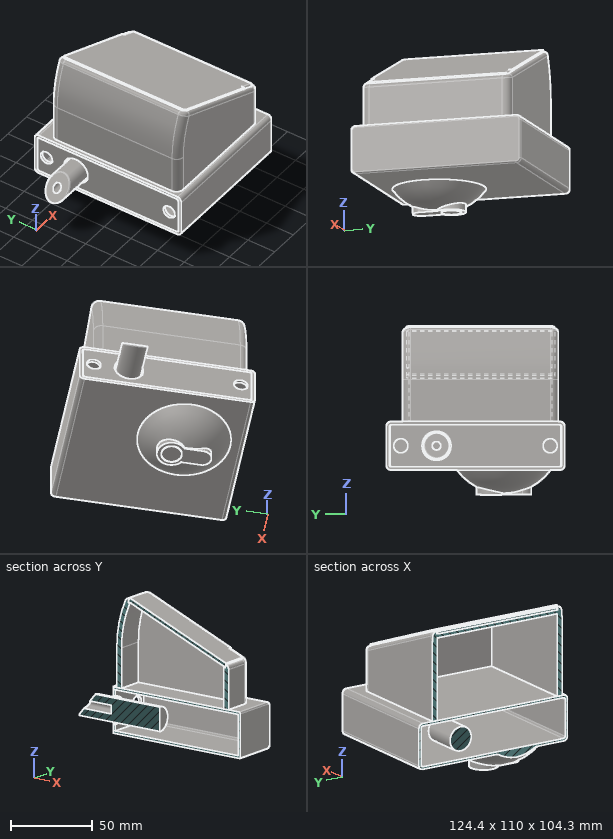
import cadquery as cq
import math

housing_length = 98.0
housing_width = 110.0
housing_height = 30.0
housing_wall = 2.0
housing_edge_radius = 3.0
housing_end_radius = 1.0

dome_x = 37.5
dome_y = -17.4
dome_radius = 36.1
dome_depth = 14.5
boss_depth = 15.0
boss_round_radius = 9.1
boss_neck_radius = 5.6
boss_round_y = -9.6
boss_neck_y = -28.9
plug_radius = 6.3
plug_depth = 15.4

plate_thickness = 2.0
plate_side_gap = 0.4
plate_corner_radius = 1.2
screw_hole_diameter = 8.7
screw_hole_spacing = 92.0
bolt_clearance_diameter = 17.9

bolt_diameter = 15.9
bolt_y = 24.0
bolt_reach = 26.4
bolt_inner_length = 36.1
bolt_slant_angle = 40.0
bolt_tip_radius = 0.5
bolt_bore_diameter = 5.2
bolt_bore_depth = 24.9

button_back_x = 2.7
button_front_x = 89.1
button_width = 96.0
button_y = -3.0
button_slope_angle = 21.7
button_front_height = 27.5
back_straight_height = 26.0
back_curve_radius = 74.7
button_corner_radius = 5.0
button_top_radius = 2.5
button_wall = 4.0

lid_inset = 2.4
lid_rise = 1.0
lid_sink = 2.0
lid_corner_radius = 2.5
lid_notch_length = 10.8
lid_notch_radius = 2.0

bolt_z = housing_height / 2
slope = math.radians(button_slope_angle)
button_front_top_z = housing_height + button_front_height
downhill = (math.cos(slope), -math.sin(slope))
uphill_normal = (math.sin(slope), math.cos(slope))


def curve_meets_slope(inset, drop):
    """Point (x, z) where the curved back meets the slope.

    The back is moved inward by `inset` and the slope is lowered squarely by `drop`.
    """
    centre_x = button_back_x + back_curve_radius
    centre_z = housing_height + back_straight_height
    rise = (
        (button_front_x - centre_x) * uphill_normal[0]
        + (button_front_top_z - centre_z) * uphill_normal[1]
        - drop
    )
    run = math.sqrt((back_curve_radius - inset) ** 2 - rise**2)
    return (
        centre_x + rise * uphill_normal[0] - run * downhill[0],
        centre_z + rise * uphill_normal[1] - run * downhill[1],
    )


def wedge(inset, drop):
    """Button-shaped block: walls moved in by `inset`, sloping top lowered by `drop`."""
    back_x = button_back_x + inset
    front_x = button_front_x - inset
    curve_bottom_z = housing_height + back_straight_height
    top_x, top_z = curve_meets_slope(inset, drop)
    front_top_z = button_front_top_z + inset * math.tan(slope) - drop / math.cos(slope)

    curve_centre_x = button_back_x + back_curve_radius
    half_turn = math.atan2(top_z - curve_bottom_z, curve_centre_x - top_x) / 2
    curve_radius = back_curve_radius - inset
    middle = (
        curve_centre_x - curve_radius * math.cos(half_turn),
        curve_bottom_z + curve_radius * math.sin(half_turn),
    )
    return (
        cq.Workplane("XZ", origin=(0, button_y, 0))
        .moveTo(back_x, housing_height)
        .lineTo(back_x, curve_bottom_z)
        .threePointArc(middle, (top_x, top_z))
        .lineTo(front_x, front_top_z)
        .lineTo(front_x, housing_height)
        .close()
        .extrude(button_width / 2 - inset, both=True)
    )


lid_back_x, lid_back_z = curve_meets_slope(lid_inset, 0)
lid_length = (button_front_x - lid_inset - lid_back_x) / math.cos(slope)
lid_width = button_width - 2 * lid_inset
lid_plane = cq.Plane(
    origin=(lid_back_x, button_y, lid_back_z),
    xDir=(downhill[0], 0, downhill[1]),
    normal=(uphill_normal[0], 0, uphill_normal[1]),
)


def lid_slab():
    """Round-cornered slab that fills the lid recess and stands above the slope."""
    return (
        cq.Workplane(lid_plane)
        .workplane(offset=-lid_sink)
        .center(lid_length / 2, 0)
        .rect(lid_length, lid_width)
        .extrude(lid_sink + lid_rise)
        .edges(cq.selectors.ParallelDirSelector(lid_plane.zDir))
        .fillet(lid_corner_radius)
    )


def lid_notch(side):
    """Material rounded off one long top edge of the lid at its low end (side is -1 or 1)."""
    edge_y = side * lid_width / 2
    arc_setback = lid_notch_radius * (1 - math.sqrt(0.5))
    notch_plane = cq.Plane(
        origin=lid_plane.toWorldCoords((lid_length - lid_notch_length, 0, 0)),
        xDir=(0, 1, 0),
        normal=lid_plane.xDir,
    )
    return (
        cq.Workplane(notch_plane)
        .moveTo(edge_y - side * lid_notch_radius, lid_rise)
        .threePointArc(
            (edge_y - side * arc_setback, lid_rise - arc_setback),
            (edge_y, lid_rise - lid_notch_radius),
        )
        .lineTo(edge_y, lid_rise)
        .close()
        .extrude(lid_notch_length)
    )


def make_lid():
    """Lid with a rounded finger notch at the low end of each long side."""
    lid = lid_slab()
    for side in (-1, 1):
        lid = lid.cut(lid_notch(side))
    return lid


def make_button():
    """Hollow wedge whose top has a recess for the lid."""
    button = wedge(0, 0).edges("|Z or %CIRCLE").fillet(button_corner_radius)
    button = (
        button.faces(cq.selectors.ParallelDirSelector(lid_plane.zDir))
        .edges()
        .fillet(button_top_radius)
    )
    return button.cut(wedge(button_wall, lid_sink)).cut(lid_slab())


def make_lock_boss():
    """Dome cap, keyhole-shaped boss and round plug face below the housing."""
    dome = (
        cq.Workplane("XY", origin=(dome_x, dome_y, dome_radius - dome_depth))
        .sphere(dome_radius)
    )
    below = (
        cq.Workplane("XY", origin=(dome_x, dome_y, 0))
        .rect(2 * dome_radius, 2 * dome_radius)
        .extrude(-dome_depth)
    )
    boss = (
        cq.Workplane("XY", origin=(dome_x, 0, 0))
        .center(0, boss_round_y)
        .circle(boss_round_radius)
        .extrude(-boss_depth)
    )
    neck = (
        cq.Workplane("XY", origin=(dome_x, (boss_round_y + boss_neck_y) / 2, 0))
        .slot2D(boss_round_y - boss_neck_y + 2 * boss_neck_radius, 2 * boss_neck_radius, 90)
        .extrude(-boss_depth)
    )
    plug = (
        cq.Workplane("XY", origin=(dome_x, boss_round_y, 0))
        .circle(plug_radius)
        .extrude(-plug_depth)
    )
    return dome.intersect(below).union(boss).union(neck).union(plug)


def make_housing():
    """Hollow case, open at -X, carrying the lock boss on its underside."""
    case = (
        cq.Workplane("XY")
        .box(housing_length, housing_width, housing_height, centered=(False, True, False))
        .edges("|X")
        .fillet(housing_edge_radius)
        .faces(">X")
        .edges()
        .fillet(housing_end_radius)
    )
    cavity = (
        cq.Workplane("XY", origin=(0, 0, housing_wall))
        .box(
            housing_length - housing_wall,
            housing_width - 2 * housing_wall,
            housing_height - 2 * housing_wall,
            centered=(False, True, False),
        )
        .edges("|X")
        .fillet(plate_corner_radius)
    )
    return case.union(make_lock_boss()).cut(cavity)


def make_plate():
    """Cover plate flush with the open end, with two screw holes and the bolt opening."""
    plate = (
        cq.Workplane("XY", origin=(0, 0, housing_wall))
        .box(
            plate_thickness,
            housing_width - 2 * (housing_wall + plate_side_gap),
            housing_height - 2 * housing_wall,
            centered=(False, True, False),
        )
        .edges("|X")
        .fillet(plate_corner_radius)
    )
    holes = (
        cq.Workplane("YZ", origin=(0, 0, bolt_z))
        .pushPoints([(-screw_hole_spacing / 2, 0), (screw_hole_spacing / 2, 0)])
        .circle(screw_hole_diameter / 2)
        .extrude(plate_thickness)
    )
    opening = (
        cq.Workplane("YZ", origin=(0, bolt_y, bolt_z))
        .circle(bolt_clearance_diameter / 2)
        .extrude(plate_thickness)
    )
    return plate.cut(holes).cut(opening)


def make_bolt():
    """Round bar with a slanted tip and a blind bore along its axis."""
    radius = bolt_diameter / 2
    slant_run = bolt_diameter * math.tan(math.radians(bolt_slant_angle))
    half_tip_angle = math.radians(90 - bolt_slant_angle) / 2
    sharp_reach = bolt_reach + bolt_tip_radius * (1 / math.tan(half_tip_angle) - 1)
    bar = (
        cq.Workplane("YZ", origin=(-sharp_reach, bolt_y, bolt_z))
        .circle(radius)
        .extrude(sharp_reach + bolt_inner_length)
    )
    waste = (
        cq.Workplane("XZ", origin=(-sharp_reach, bolt_y, bolt_z))
        .polyline([(0, -radius), (slant_run, radius), (0, radius)])
        .close()
        .extrude(radius, both=True)
    )
    bore = (
        cq.Workplane("YZ", origin=(-sharp_reach, bolt_y, bolt_z))
        .circle(bolt_bore_diameter / 2)
        .extrude(sharp_reach - bolt_reach + bolt_bore_depth)
    )
    return bar.cut(waste).faces("<X").edges().fillet(bolt_tip_radius).cut(bore)


lid = make_lid()
button = make_button()
housing = make_housing()
plate = make_plate()
bolt = make_bolt()

result = cq.Compound.makeCompound(
    [housing.val(), plate.val(), bolt.val(), button.val(), lid.val()]
)